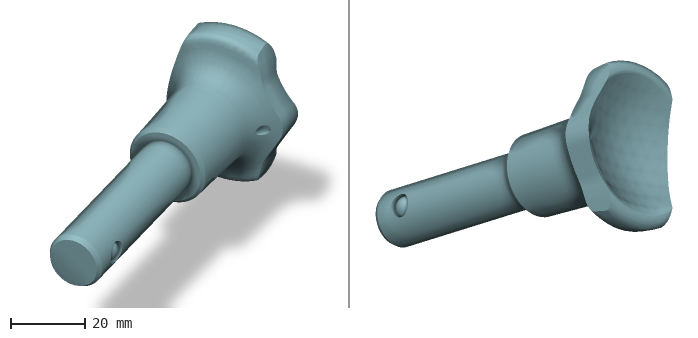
import math

import cadquery as cq


shank_radius = 16.0 / 2
shank_length = 53.0
tip_chamfer_length = 1.5
tip_chamfer_inset = tip_chamfer_length * math.tan(math.radians(30))

ball_radius = 6.5 / 2
ball_from_tip = 9.8
ball_seat_clearance = 0.1

handle_length = 40.0
neck_end_radius = 11.6
neck_chamfer = 1.0
neck_top_radius = 12.25
neck_length = 21.7

flare_radius = 9.7
grip_radius = 46.85 / 2
grip_draft = math.radians(6.4)
back_round = 2.6
front_round = 2.4
dish_radius = 27.0
dish_depth = 8.65
dish_edge_round = 1.0

side_distance = 14.8
side_arc_radius = 52.0
side_half_height = 30.0

lug_tip_distance = 19.3
lug_tip_radius = 7.3
lug_flank_angle = math.radians(30)
lug_root_round = 9.0
lanyard_hole_diameter = 3.0
lanyard_hole_distance = 14.9


def make_shank():
    """Round shank with a tapered tip."""
    profile = (
        cq.Workplane("XY")
        .lineTo(shank_radius, 0)
        .lineTo(shank_radius, tip_chamfer_length - shank_length)
        .lineTo(shank_radius - tip_chamfer_inset, -shank_length)
        .lineTo(0, -shank_length)
        .close()
    )
    return profile.revolve(360, (0, 0, 0), (0, 1, 0))


def make_ball_groove():
    """Gap between one locking ball, flush with the shank, and its bore on the +X side."""
    ball_x = shank_radius - ball_radius
    ball_y = ball_from_tip - shank_length
    floor_angle = math.acos(1 - ball_seat_clearance / ball_radius)
    shoulder_angle = (floor_angle + math.pi / 2) / 2
    bore_mouth = 2 * ball_radius
    profile = (
        cq.Workplane("XY", origin=(ball_x, ball_y, 0))
        .moveTo(ball_radius * math.sin(floor_angle), ball_radius * math.cos(floor_angle))
        .threePointArc(
            (ball_radius * math.sin(shoulder_angle), ball_radius * math.cos(shoulder_angle)),
            (ball_radius, 0),
        )
        .lineTo(bore_mouth, 0)
        .lineTo(bore_mouth, ball_radius)
        .lineTo(ball_radius * math.sin(floor_angle), ball_radius)
        .close()
    )
    return profile.revolve(360, (0, 0, 0), (1, 0, 0))


def round_ring(turned_body, ring_radius, ring_y, round_radius):
    """Fillet the circular edge of given radius at one height along the axis."""
    tolerance = 0.01
    ring = turned_body.edges("%CIRCLE").filter(
        lambda edge: abs(edge.radius() - ring_radius) < tolerance
        and abs(edge.Center().y - ring_y) < tolerance
    )
    return ring.fillet(round_radius)


def make_grip_blank():
    """Turned handle: neck, flare, rounded rim and dished back."""
    taper = math.atan((neck_top_radius - neck_end_radius) / (neck_length - neck_chamfer))
    flare_centre_r = neck_top_radius + flare_radius * math.cos(taper)
    flare_centre_y = neck_length - flare_radius * math.sin(taper)
    crest_y = flare_centre_y + flare_radius
    flare_mid_angle = math.radians(135) + taper / 2
    flare_mid = (
        flare_centre_r + flare_radius * math.cos(flare_mid_angle),
        flare_centre_y + flare_radius * math.sin(flare_mid_angle),
    )
    corner_reach = math.tan(math.pi / 4 + grip_draft / 2) - 1
    back_corner_r = grip_radius + back_round * corner_reach
    front_corner_r = back_corner_r - (handle_length - crest_y) * math.tan(grip_draft)

    profile = (
        cq.Workplane("XY")
        .lineTo(neck_end_radius - neck_chamfer, 0)
        .lineTo(neck_end_radius, neck_chamfer)
        .lineTo(neck_top_radius, neck_length)
        .threePointArc(flare_mid, (flare_centre_r, crest_y))
        .lineTo(front_corner_r, crest_y)
        .lineTo(back_corner_r, handle_length)
        .lineTo(0, handle_length)
        .close()
    )
    blank = profile.revolve(360, (0, 0, 0), (0, 1, 0))
    dish_centre_y = handle_length - dish_depth + dish_radius
    dish = cq.Workplane("XY").sphere(dish_radius).translate((0, dish_centre_y, 0))
    blank = blank.cut(dish)

    dish_edge_radius = math.sqrt(dish_radius**2 - (dish_radius - dish_depth) ** 2)
    blank = round_ring(blank, front_corner_r, crest_y, front_round)
    blank = round_ring(blank, back_corner_r, handle_length, back_round)
    return round_ring(blank, dish_edge_radius, handle_length, dish_edge_round)


def make_grip_outline():
    """Prism with arched sides and a pointed lug on +X that trims the grip."""
    side_drop = side_arc_radius - math.sqrt(side_arc_radius**2 - side_half_height**2)
    corner_x = side_distance - side_drop
    barrel = (
        cq.Workplane("XZ")
        .moveTo(-corner_x, -side_half_height)
        .threePointArc((-side_distance, 0), (-corner_x, side_half_height))
        .lineTo(corner_x, side_half_height)
        .threePointArc((side_distance, 0), (corner_x, -side_half_height))
        .close()
        .extrude(-handle_length)
    )
    tip_centre_x = lug_tip_distance - lug_tip_radius
    tangent_x = tip_centre_x + lug_tip_radius * math.cos(lug_flank_angle)
    tangent_z = lug_tip_radius * math.sin(lug_flank_angle)
    flank_start_z = tangent_z + (tangent_x - tip_centre_x) / math.tan(lug_flank_angle)
    lug = (
        cq.Workplane("XZ")
        .moveTo(tip_centre_x, -flank_start_z)
        .lineTo(tangent_x, -tangent_z)
        .threePointArc((lug_tip_distance, 0), (tangent_x, tangent_z))
        .lineTo(tip_centre_x, flank_start_z)
        .close()
        .extrude(-handle_length)
    )
    outline = barrel.union(lug)
    root_edges = outline.edges("|Y").filter(
        lambda edge: tip_centre_x < edge.Center().x < side_distance
        and abs(edge.Center().z) < flank_start_z
    )
    return root_edges.fillet(lug_root_round)


def make_lanyard_hole():
    """Hole through the lug, parallel to the axis."""
    return (
        cq.Workplane("XZ")
        .center(lanyard_hole_distance, 0)
        .circle(lanyard_hole_diameter / 2)
        .extrude(-handle_length)
    )


ball_groove = make_ball_groove()
shank = make_shank().cut(ball_groove).cut(ball_groove.mirror("YZ"))
handle = make_grip_blank().intersect(make_grip_outline()).cut(make_lanyard_hole())
result = handle.union(shank)